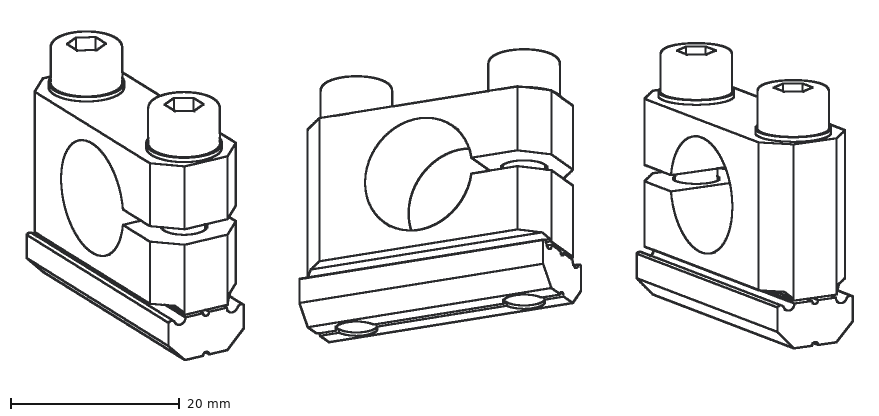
import cadquery as cq
import math

length = 32.0
overall_height = 30.4
bottom_to_tongue = 5.82
clamp_top = 24.85
screw_spacing = 22.0
screw_positions = [(-screw_spacing / 2, 0), (screw_spacing / 2, 0)]

clamp_width = 12.0
corner_chamfer = 3.0
shoulder_z = 6.85
tongue_half_width = 3.1
tongue_side_height = 0.32
bore_diameter = 14.0
bore_z = 15.8
slot_height = 2.0
clearance_diameter = 5.5

rail_half_width = 5.25
rail_top = 5.47
rail_chamfer = 2.3
groove_radius = 0.77
groove_y = 3.65
lip_radius = 0.55
notch_radius = 0.4

shank_diameter = 5.0
shank_length = 25.0
head_diameter = 8.5
head_height = 5.0
head_fillet = 0.5
hex_across_flats = 4.0
hex_depth = 2.5
hex_tip_angle = 120.0
washer_diameter = 9.0
washer_hole_diameter = 5.3
head_seat = overall_height - head_height
washer_thickness = head_seat - clamp_top


def cylinder(diameter, height, base_z):
    return cq.Workplane("XY").workplane(offset=base_z).circle(diameter / 2).extrude(height)


def make_clamp():
    """Split clamp block with a tapered locating tongue underneath."""
    half_width = clamp_width / 2
    tongue_top = bottom_to_tongue + tongue_side_height
    flare_half_width = tongue_half_width + shoulder_z - tongue_top
    profile = (
        cq.Workplane("YZ", origin=(-length / 2, 0, 0))
        .polyline([
            (-tongue_half_width, bottom_to_tongue),
            (tongue_half_width, bottom_to_tongue),
            (tongue_half_width, tongue_top),
            (flare_half_width, shoulder_z),
            (half_width, shoulder_z),
            (half_width, clamp_top),
            (-half_width, clamp_top),
            (-half_width, shoulder_z),
            (-flare_half_width, shoulder_z),
            (-tongue_half_width, tongue_top),
        ])
        .close()
        .extrude(length)
    )
    outline = (
        cq.Workplane("XY")
        .rect(length, clamp_width)
        .extrude(clamp_top)
        .edges("|Z")
        .chamfer(corner_chamfer)
    )
    bore = (
        cq.Workplane("XZ", origin=(0, 0, bore_z))
        .circle(bore_diameter / 2)
        .extrude(half_width, both=True)
    )
    slot = cq.Workplane("XY").box(
        length / 2, clamp_width, slot_height, centered=(False, True, True)
    ).translate((0, 0, bore_z))
    clamp = profile.intersect(outline).cut(bore).cut(slot)
    for x, y in screw_positions:
        clamp = clamp.cut(cylinder(clearance_diameter, clamp_top, 0).translate((x, y, 0)))
    return clamp


def make_rail():
    """Rail with two rounded lips, each rolling tangentially into a groove."""
    radius_sum = groove_radius + lip_radius
    lip_z = rail_top - lip_radius
    lip_y = groove_y + math.sqrt(radius_sum**2 - lip_radius**2)
    blend_y = groove_y + (lip_y - groove_y) * groove_radius / radius_sum
    blend_z = rail_top - lip_radius * groove_radius / radius_sum
    side_top = lip_z + math.sqrt(lip_radius**2 - (rail_half_width - lip_y)**2)
    groove_inner_y = groove_y - groove_radius
    groove_bottom = rail_top - groove_radius
    bottom_half_width = rail_half_width - rail_chamfer
    rail = (
        cq.Workplane("YZ", origin=(-length / 2, 0, 0))
        .moveTo(-bottom_half_width, 0)
        .lineTo(-notch_radius, 0)
        .threePointArc((0, notch_radius), (notch_radius, 0))
        .lineTo(bottom_half_width, 0)
        .lineTo(rail_half_width, rail_chamfer)
        .lineTo(rail_half_width, side_top)
        .threePointArc((lip_y, rail_top), (blend_y, blend_z))
        .threePointArc((groove_y, groove_bottom), (groove_inner_y, rail_top))
        .lineTo(notch_radius, rail_top)
        .threePointArc((0, rail_top - notch_radius), (-notch_radius, rail_top))
        .lineTo(-groove_inner_y, rail_top)
        .threePointArc((-groove_y, groove_bottom), (-blend_y, blend_z))
        .threePointArc((-lip_y, rail_top), (-rail_half_width, side_top))
        .lineTo(-rail_half_width, rail_chamfer)
        .close()
        .extrude(length)
    )
    for x, y in screw_positions:
        rail = rail.cut(cylinder(shank_diameter, rail_top, 0).translate((x, y, 0)))
    return rail


def make_hex_socket():
    """Hexagonal socket cutter with a conical bottom."""
    across_corners = hex_across_flats / math.cos(math.pi / 6)
    corner_radius = across_corners / 2
    cone_depth = corner_radius / math.tan(math.radians(hex_tip_angle / 2))
    total_depth = hex_depth + cone_depth
    prism = (
        cq.Workplane("XY", origin=(0, 0, overall_height - total_depth))
        .polygon(6, across_corners)
        .extrude(total_depth)
    )
    drill = (
        cq.Workplane("XZ")
        .polyline([
            (0, overall_height - total_depth),
            (corner_radius, overall_height - hex_depth),
            (corner_radius, overall_height),
            (0, overall_height),
        ])
        .close()
        .revolve(360, (0, 0), (0, 1))
    )
    return prism.intersect(drill)


def make_screw(x, y):
    """Socket head cap screw."""
    head = cylinder(head_diameter, head_height, head_seat).faces(">Z").edges().fillet(head_fillet)
    shank = cylinder(shank_diameter, shank_length, head_seat - shank_length)
    return head.union(shank).cut(make_hex_socket()).translate((x, y, 0))


def make_washer(x, y):
    """Flat washer between the screw head and the clamp."""
    disc = cylinder(washer_diameter, washer_thickness, clamp_top)
    hole = cylinder(washer_hole_diameter, washer_thickness, clamp_top)
    return disc.cut(hole).translate((x, y, 0))


clamp = make_clamp()
rail = make_rail()
screws = [make_screw(x, y) for x, y in screw_positions]
washers = [make_washer(x, y) for x, y in screw_positions]

result = cq.Compound.makeCompound([
    clamp.val(),
    rail.val(),
    *[screw.val() for screw in screws],
    *[washer.val() for washer in washers],
])